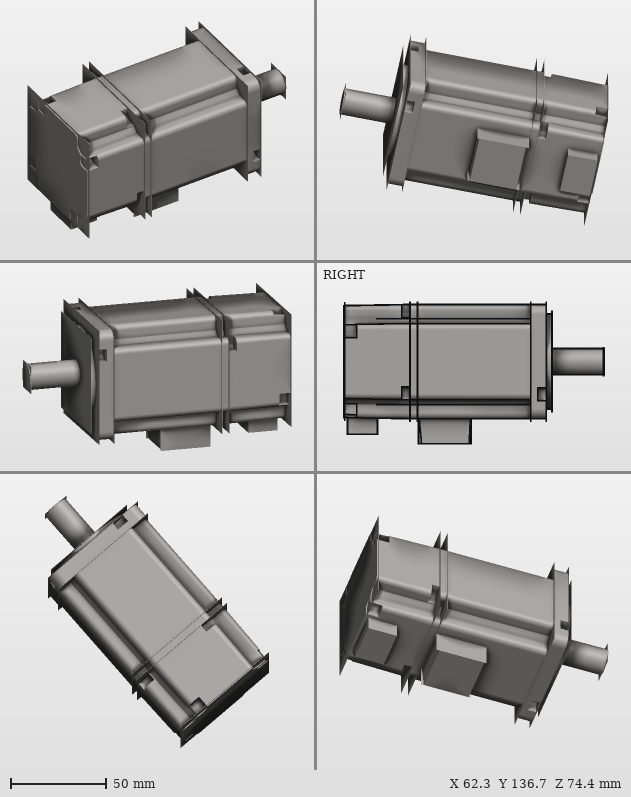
import cadquery as cq
import math


total_length = 136.7
shaft_tip_y = 30.4
pilot_face_y = 3.0
flange_back_y = -8.3
stator_back_y = -67.5
ring_back_y = -71.6
cover_back_y = shaft_tip_y - total_length

shaft_diameter = 14.0
pilot_diameter = 50.0

motor_width = 60.0
flange_corner_radius = 5.0

half_width = motor_width / 2
notch_side = 20.0
notch_chamfer = 2.6
profile_radius = 3.0
cover_draft = 1.0

plate_thickness = 0.1
motor_plate_width = 62.3
cover_plate_width = 61.5
pilot_plate_width = 52.6
shaft_plate_width = 14.8
shaft_plate_inset = 0.4
cover_plate_inset = 0.5

pocket_radius = 2.7
pocket_width = 6.8
pocket_overshoot = 1.4
flange_pocket_offset = 17.1
flange_pocket_length = 4.5
front_pocket_floor = 23.1
cover_front_pocket_length = 4.4
cover_rear_pocket_length = 6.3
cover_rear_pocket_floor = 22.1
cover_rear_notch_side = 19.3

total_height = 74.4
connector_bottom_z = motor_plate_width / 2 - total_height
power_width = 24.9
power_front_y = -39.9
power_back_y = -66.7
power_front_slope = 0.7
power_back_slope = 1.2
power_cheek_overhang = 0.4

encoder_width = 20.8
encoder_front_y = -88.6
encoder_back_y = -104.5
encoder_bottom_z = -38.1
encoder_bury = 2.7


def section_plane(y):
    """Plane across the axis, with local x = X, local y = Z and extrusion towards -Y."""
    return cq.Workplane("XZ", origin=(0, y, 0))


def square_plate(width, front_y):
    return section_plane(front_y).rect(width, width).extrude(plate_thickness)


def motor_profile(y):
    """Outline of the square motor section with a rounded, chamfered notch at each corner."""
    arc_start = notch_side - profile_radius
    arc_middle = profile_radius * math.sqrt(0.5)
    shoulder = notch_side + notch_chamfer
    outline = section_plane(y).moveTo(-arc_start, half_width)
    for quarter in range(4):
        angle = -math.pi / 2 * quarter

        def turned(x, z):
            return (
                x * math.cos(angle) - z * math.sin(angle),
                x * math.sin(angle) + z * math.cos(angle),
            )

        outline = (
            outline.lineTo(*turned(arc_start, half_width))
            .threePointArc(
                turned(arc_start + arc_middle, half_width - profile_radius + arc_middle),
                turned(notch_side, half_width - profile_radius),
            )
            .lineTo(*turned(notch_side, shoulder))
            .lineTo(*turned(shoulder, notch_side))
            .lineTo(*turned(half_width - profile_radius, notch_side))
            .threePointArc(
                turned(half_width - profile_radius + arc_middle, arc_start + arc_middle),
                turned(half_width, arc_start),
            )
        )
    return outline.close()


def screw_pockets(center_x, floor_z, front_y, length, rounded_edges):
    """Cutters for four pockets, a quarter turn apart, that reach past the outer sides."""
    height = half_width - floor_z + pocket_overshoot
    pocket = (
        section_plane(front_y)
        .center(center_x, floor_z + height / 2)
        .rect(pocket_width, height)
        .extrude(length)
        .edges("|Y and <Z")
        .edges(rounded_edges)
        .fillet(pocket_radius)
    )
    pockets = cq.Workplane()
    for quarter in range(4):
        pockets = pockets.add(pocket.rotate((0, 0, 0), (0, 1, 0), 90 * quarter))
    return pockets.combine()


def make_shaft():
    shaft = section_plane(shaft_tip_y).circle(shaft_diameter / 2).extrude(shaft_tip_y - pilot_face_y)
    return shaft.union(square_plate(shaft_plate_width, shaft_tip_y - shaft_plate_inset))


def make_flange():
    flange = (
        section_plane(0)
        .rect(motor_width, motor_width)
        .extrude(-flange_back_y)
        .edges("|Y")
        .fillet(flange_corner_radius)
    )
    flange = flange.cut(
        screw_pockets(flange_pocket_offset, front_pocket_floor, 0, flange_pocket_length, "|Y")
    )
    pilot = section_plane(pilot_face_y).circle(pilot_diameter / 2).extrude(pilot_face_y)
    flange = flange.union(pilot)
    flange = flange.union(square_plate(pilot_plate_width, pilot_face_y))
    flange = flange.union(square_plate(motor_plate_width, 0))
    return flange.union(square_plate(motor_plate_width, flange_back_y + plate_thickness))


def make_stator():
    return motor_profile(flange_back_y).extrude(flange_back_y - stator_back_y)


def make_ring():
    ring = motor_profile(stator_back_y).extrude(stator_back_y - ring_back_y)
    ring = ring.union(square_plate(motor_plate_width, stator_back_y))
    return ring.union(square_plate(motor_plate_width, ring_back_y + plate_thickness))


def make_cover():
    cover = motor_profile(ring_back_y).extrude(ring_back_y - cover_back_y, taper=cover_draft)
    front_pocket_x = notch_side - pocket_width / 2
    rear_pocket_x = pocket_width / 2 - cover_rear_notch_side
    rear_pocket_y = cover_back_y + cover_plate_inset + cover_rear_pocket_length
    rear_pocket_length = rear_pocket_y - cover_back_y
    cover = cover.cut(
        screw_pockets(front_pocket_x, front_pocket_floor, ring_back_y, cover_front_pocket_length, "<X")
    )
    cover = cover.cut(
        screw_pockets(rear_pocket_x, cover_rear_pocket_floor, rear_pocket_y, rear_pocket_length, ">X")
    )
    plate_y = cover_back_y + cover_plate_inset + plate_thickness
    return cover.union(square_plate(cover_plate_width, plate_y))


def make_power_connector():
    """Block that narrows towards the bottom, between two thin rectangular cheeks."""
    core_width = power_width - 2 * plate_thickness
    connector = (
        cq.Workplane("YZ")
        .moveTo(power_front_y, -half_width)
        .lineTo(power_front_y - power_front_slope, connector_bottom_z)
        .lineTo(power_back_y + power_back_slope, connector_bottom_z)
        .lineTo(power_back_y, -half_width)
        .close()
        .extrude(core_width / 2, both=True)
    )
    cheek_length = power_front_y - power_back_y + 2 * power_cheek_overhang
    cheek_height = -half_width - connector_bottom_z
    cheek_y = (power_front_y + power_back_y) / 2
    cheek_z = connector_bottom_z + cheek_height / 2
    for side in (-1, 1):
        cheek_x = side * (core_width + plate_thickness) / 2
        cheek = cq.Workplane("XY").box(plate_thickness, cheek_length, cheek_height)
        connector = connector.union(cheek.translate((cheek_x, cheek_y, cheek_z)))
    return connector


def make_encoder_connector(cover):
    """Block whose top follows the drafted underside of the cover."""
    top_z = encoder_bury - half_width
    block = (
        section_plane(encoder_front_y)
        .center(0, (top_z + encoder_bottom_z) / 2)
        .rect(encoder_width, top_z - encoder_bottom_z)
        .extrude(encoder_front_y - encoder_back_y)
    )
    return block.cut(cover)


shaft = make_shaft()
flange = make_flange()
stator = make_stator()
ring = make_ring()
cover = make_cover()
power_connector = make_power_connector()
encoder_connector = make_encoder_connector(cover)

result = cq.Compound.makeCompound(
    [
        shaft.solids().val(),
        flange.solids().val(),
        stator.solids().val(),
        ring.solids().val(),
        cover.solids().val(),
        power_connector.solids().val(),
        encoder_connector.solids().val(),
    ]
)